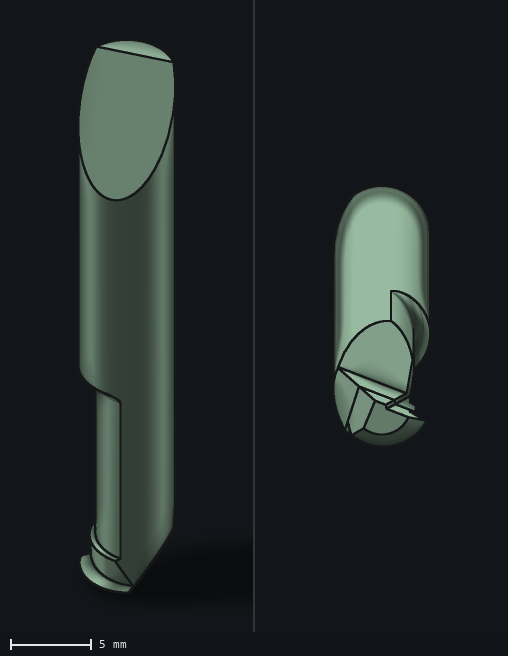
import cadquery as cq
import math


shank_radius = 3.0
bar_length = 40.0
bevel_length = 8.0
bevel_angle = 30.0
bevel_tan = math.tan(math.radians(bevel_angle))

neck_left = -1.9
neck_radius = shank_radius
neck_axis_x = neck_left + neck_radius
step_z = 16.57
step_fillet = 0.6
neck_bottom_z = 3.66

collar_left = -2.27
collar_radius = 3.04
collar_axis_x = collar_left + collar_radius
collar_top_z = 3.42
collar_bottom_z = 1.0
clearance_lean = 0.15

parting_z = 1.83
parting_slope = 0.12

root_left = -1.9
root_radius = 2.5
root_axis_y = 0.2
root_z = 1.42
rim_z = 0.78
rim_axis_y = 0.25
rim_radius = math.hypot(shank_radius, rim_axis_y)
tip_end_radius = 1.77

flat_y = 0.22
flat_top_z = 4.45
back_bevel_end_x = 0.53
recess_top_z = 5.05
recess_fall_x = 3.2
recess_rise_y = 2.15

reach = 4 * shank_radius


def frustum(lower, upper):
    """Loft between two horizontal circles, each given as (x, y, z, radius)."""
    wires = [
        cq.Wire.makeCircle(radius, cq.Vector(x, y, z), cq.Vector(0, 0, 1))
        for x, y, z, radius in (lower, upper)
    ]
    return cq.Workplane(obj=cq.Solid.makeLoft(wires, True))


def prism(plane, points):
    """Extrude an outline to both sides of a plane, far enough to cross the bar."""
    return cq.Workplane(plane).polyline(points).close().extrude(reach, both=True)


def make_round_bar():
    return cq.Workplane("XY").circle(shank_radius).extrude(bar_length)


def make_shank():
    """Upper part of the bar with its sloping end facing -Y."""
    shank = (
        cq.Workplane("XY")
        .workplane(offset=step_z)
        .circle(shank_radius)
        .extrude(bar_length - step_z)
    )
    bevel = prism("YZ", [
        (-shank_radius, bar_length - bevel_length),
        (-shank_radius, bar_length),
        (-shank_radius + bevel_length * bevel_tan, bar_length),
    ])
    return shank.cut(bevel)


def make_neck():
    """Offset cylinder that flares with a concave fillet into the shank step."""
    fillet_start_z = step_z - step_fillet
    flare_radius = neck_radius + step_fillet
    arc_offset = step_fillet * math.sqrt(0.5)
    return (
        cq.Workplane("XZ", origin=(neck_axis_x, 0, 0))
        .moveTo(0, neck_bottom_z)
        .lineTo(neck_radius, neck_bottom_z)
        .lineTo(neck_radius, fillet_start_z)
        .threePointArc(
            (flare_radius - arc_offset, fillet_start_z + arc_offset),
            (flare_radius, step_z),
        )
        .lineTo(0, step_z)
        .close()
        .revolve()
    )


def make_collar():
    """Leaning collar with a narrow sloping ledge up to the neck."""
    collar_top = (collar_axis_x, 0, collar_top_z, collar_radius)
    lean = clearance_lean * (collar_top_z - collar_bottom_z)
    collar_bottom = (collar_axis_x, lean, collar_bottom_z, collar_radius)
    neck_bottom = (neck_axis_x, 0, neck_bottom_z, neck_radius)
    return frustum(collar_bottom, collar_top).union(frustum(collar_top, neck_bottom))


def make_rim_and_root():
    """Pointed rim with a narrower root rising to the parting plane."""
    tip_end = (0, 0, 0, tip_end_radius)
    rim = (0, rim_axis_y, rim_z, rim_radius)
    root_axis_x = root_left + root_radius
    root = (root_axis_x, root_axis_y, root_z, root_radius)
    root_top = (root_axis_x, root_axis_y, collar_top_z, root_radius)
    return frustum(tip_end, rim).union(frustum(rim, root)).union(frustum(root, root_top))


def make_below_parting():
    """Everything below the parting plane."""
    return prism("YZ", [
        (-reach, parting_z - parting_slope * reach),
        (reach, parting_z + parting_slope * reach),
        (reach, -reach),
        (-reach, -reach),
    ])


def make_front_relief():
    """Material removed on the +Y side: a sloping bevel running into a flat."""
    return prism("YZ", [
        (flat_y, -reach),
        (flat_y, flat_top_z),
        (flat_y + reach * bevel_tan, flat_top_z + reach),
        (reach, flat_top_z + reach),
        (reach, -reach),
    ])


def make_back_bevel():
    """Material removed on the +X side of the cutting end."""
    return prism("XZ", [
        (back_bevel_end_x - reach * bevel_tan, -reach),
        (back_bevel_end_x + reach * bevel_tan, reach),
        (reach, -reach),
    ])


def make_rake_recess():
    """Recess with its floor at Y = 0 and a sloping wall, left of the cutting flat."""
    wall = cq.Plane(
        origin=(neck_left, 0, recess_top_z),
        xDir=(0, 1, recess_rise_y),
        normal=(-recess_fall_x, recess_rise_y, -1),
    )
    beyond_wall = cq.Workplane(wall).rect(2 * reach, 2 * reach).extrude(reach)
    above_floor = cq.Workplane("XY").box(
        2 * reach, reach, 2 * reach, centered=(True, False, True)
    )
    return beyond_wall.intersect(above_floor)


round_bar = make_round_bar()
below_parting = make_below_parting()
reliefs = [make_front_relief(), make_back_bevel(), make_rake_recess()]

holder = make_neck().union(make_collar()).intersect(round_bar)
holder = holder.union(make_shank()).cut(below_parting)
tip = make_rim_and_root().intersect(round_bar).intersect(below_parting)
for relief in reliefs:
    holder = holder.cut(relief)
    tip = tip.cut(relief)

result = cq.Compound.makeCompound([*holder.solids().vals(), *tip.solids().vals()])